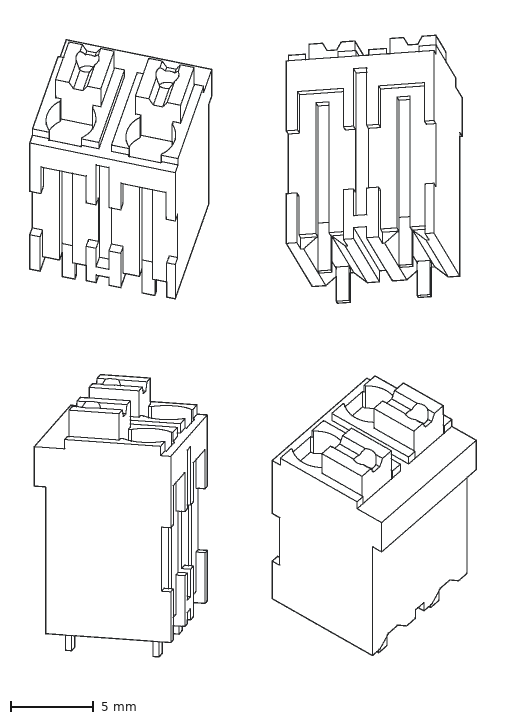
import cadquery as cq


width = 9.1
depth = 8.5
bottom_z = 1.48
top_z = 13.21
back_ledge_depth = 0.71
back_ledge_z = 10.72

pole_pitch = 4.99
pole_shift = 0.06
poles = [pole_shift - pole_pitch / 2, pole_shift + pole_pitch / 2]

pad_top_z = 13.8
pad_front_y = 0.63
pad_back_y = 6.6
groove_width = 0.79

hole_shift = -0.06
hole_floor_z = 11.91
hole_front_y = 0.53
channel_width = 2.01
bulge_width = 2.98
bulge_center_y = 1.96
bulge_length = 2.47

button_width = 2.83
button_front_y = 3.4
button_back_y = 6.5
button_top_z = 15.45
notch_depth = 0.5
notch_top_width = 1.15
notch_floor_width = 0.59
tool_hole_diameter = 1.39
tool_hole_depth = 1.55
tool_hole_y = 5.56

pin_width = 0.8
pin_thickness = 0.39
pin_top_z = 3.07
front_pin_y = 1.16
pin_row_pitch = 5.44
pin_rows = [front_pin_y, front_pin_y + pin_row_pitch]

recess_depth = 0.57
recess_width = 2.83
recess_top_z = 11.19
upper_teeth_z = 8.71
lower_teeth_z = 4.68
pin_slot_top_z = 10.6
center_slot_width = 0.8
center_slot_depth = 0.79
center_slot_bottom_z = 2.97
center_slot_top_z = 12.4
lower_widening = 0.05

foot_top_z = 2.2
v_top_width = 0.9
v_bottom_width = 2.56


def box(x_range, y_range, z_range):
    """Box between the given (low, high) limits along each axis."""
    sizes = [high - low for low, high in (x_range, y_range, z_range)]
    low_corner = (x_range[0], y_range[0], z_range[0])
    return cq.Workplane("XY").box(*sizes, centered=False).translate(low_corner)


def span(center, size):
    """Limits of a stretch of the given size around its center."""
    return (center - size / 2, center + size / 2)


def housing_block():
    """Side outline with the two top steps and the back ledge, extruded across the width."""
    back_y = depth - back_ledge_depth
    outline = [
        (0, bottom_z),
        (back_y, bottom_z),
        (back_y, back_ledge_z),
        (depth, back_ledge_z),
        (depth, top_z),
        (pad_back_y, top_z),
        (pad_back_y, pad_top_z),
        (pad_front_y, pad_top_z),
        (pad_front_y, top_z),
        (0, top_z),
    ]
    block = cq.Workplane("YZ").polyline(outline).close().extrude(width / 2, both=True)
    pad_groove = box(span(0, groove_width), (0, depth), (top_z, pad_top_z))
    return block.cut(pad_groove)


def wire_hole(pole_x):
    """Channel from the front lip to the button, widened by an arc on each side."""
    half_channel = channel_width / 2
    half_bulge = bulge_width / 2
    bulge_front_y, bulge_back_y = span(bulge_center_y, bulge_length)
    return (
        cq.Workplane("XY", origin=(pole_x + hole_shift, 0, hole_floor_z))
        .moveTo(-half_channel, hole_front_y)
        .lineTo(half_channel, hole_front_y)
        .lineTo(half_channel, bulge_front_y)
        .threePointArc((half_bulge, bulge_center_y), (half_channel, bulge_back_y))
        .lineTo(half_channel, button_front_y)
        .lineTo(-half_channel, button_front_y)
        .lineTo(-half_channel, bulge_back_y)
        .threePointArc((-half_bulge, bulge_center_y), (-half_channel, bulge_front_y))
        .close()
        .extrude(pad_top_z - hole_floor_z)
    )


def button_pocket(pole_x):
    """Pocket for a button, with a narrow gap behind it."""
    return box(
        span(pole_x, button_width), (button_front_y, pad_back_y), (hole_floor_z, pad_top_z)
    )


def front_recess(pole_x):
    """Recess between the teeth of one pole, with the pin slot and the deeper foot cutout."""
    sides = span(pole_x, recess_width)
    if pole_x < 0:
        lower_sides = (sides[0] - lower_widening, sides[1])
    else:
        lower_sides = (sides[0], sides[1] + lower_widening)
    upper_recess = box(sides, (0, recess_depth), (upper_teeth_z, recess_top_z))
    lower_recess = box(lower_sides, (0, recess_depth), (bottom_z, upper_teeth_z))
    pin_slot = box(span(pole_x, pin_width), (0, front_pin_y), (bottom_z, pin_slot_top_z))
    foot_cutout = box(lower_sides, (0, front_pin_y), (bottom_z, foot_top_z))
    return upper_recess.union(lower_recess).union(pin_slot).union(foot_cutout)


def underside_channel(pole_x):
    """Channel with sloping sides along the whole underside of one pole."""
    half_top = v_top_width / 2
    half_bottom = v_bottom_width / 2
    return (
        cq.Workplane("XZ", origin=(pole_x, 0, 0))
        .polyline([
            (-half_bottom, bottom_z),
            (half_bottom, bottom_z),
            (half_top, foot_top_z),
            (-half_top, foot_top_z),
        ])
        .close()
        .extrude(-depth)
    )


def make_pin(pole_x, front_y):
    return box(span(pole_x, pin_width), (front_y, front_y + pin_thickness), (0, pin_top_z))


def make_button(pole_x):
    """Block with a sloping-sided notch along its top and a round blind hole for a tool."""
    half_top = notch_top_width / 2
    half_floor = notch_floor_width / 2
    notch_floor_z = button_top_z - notch_depth
    body = box(
        span(pole_x, button_width), (button_front_y, button_back_y), (hole_floor_z, button_top_z)
    )
    notch = (
        cq.Workplane("XZ", origin=(pole_x, 0, 0))
        .polyline([
            (-half_top, button_top_z),
            (-half_floor, notch_floor_z),
            (half_floor, notch_floor_z),
            (half_top, button_top_z),
        ])
        .close()
        .extrude(-depth)
    )
    tool_hole = (
        cq.Workplane("XY", origin=(pole_x, tool_hole_y, button_top_z - tool_hole_depth))
        .circle(tool_hole_diameter / 2)
        .extrude(tool_hole_depth)
    )
    return body.cut(notch).cut(tool_hole)


def make_housing():
    housing = housing_block()
    middle_recess = box(span(0, width), (0, recess_depth), (lower_teeth_z, upper_teeth_z))
    center_slot = box(
        span(0, center_slot_width),
        (0, center_slot_depth),
        (center_slot_bottom_z, center_slot_top_z),
    )
    center_channel = box(span(0, groove_width), (0, depth), (bottom_z, foot_top_z))
    housing = housing.cut(middle_recess).cut(center_slot).cut(center_channel)
    for pole_x in poles:
        housing = housing.cut(wire_hole(pole_x)).cut(button_pocket(pole_x))
        housing = housing.cut(front_recess(pole_x)).cut(underside_channel(pole_x))
        for front_y in pin_rows:
            housing = housing.cut(make_pin(pole_x, front_y))
    return housing


housing = make_housing()
buttons = [make_button(pole_x) for pole_x in poles]
pins = [make_pin(pole_x, front_y) for pole_x in poles for front_y in pin_rows]

result = cq.Compound.makeCompound([
    housing.val(),
    *[button.val() for button in buttons],
    *[pin.val() for pin in pins],
])